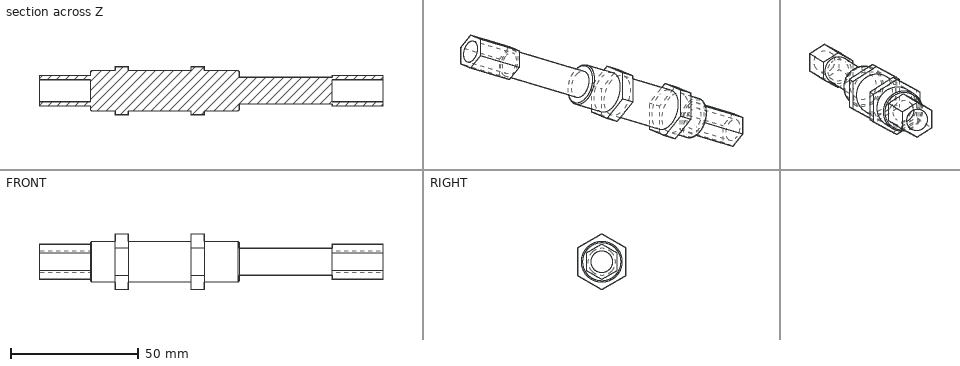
import cadquery as cq

total_length = 135.0
end_hex_length = 20.0
body_length = 58.6
body_end = end_hex_length + body_length
rod_end = total_length - end_hex_length

end_hex_flats = 12.0
body_diameter = 16.0
body_chamfer = 0.5
rod_diameter = 10.7

nut_flats = 19.0
nut_width = 5.3
nut_starts = (29.7, 59.5)

bore_diameter = 8.5
bore_depth = end_hex_length


def cylinder(start, length, diameter):
    """Solid cylinder along X."""
    return cq.Workplane("YZ", origin=(start, 0, 0)).circle(diameter / 2).extrude(length)


def hexagon(start, length, across_flats):
    """Hexagonal bar along X, with corners up and down."""
    return (
        cq.Workplane("YZ", origin=(start, 0, 0))
        .polygon(6, across_flats, circumscribed=True)
        .extrude(length)
    )


body = cylinder(end_hex_length, body_length, body_diameter).edges("%CIRCLE").chamfer(body_chamfer)
rod = cylinder(body_end, rod_end - body_end, rod_diameter)
result = body.union(rod)

for nut_start in nut_starts:
    result = result.union(hexagon(nut_start, nut_width, nut_flats))

for hex_start in (0, rod_end):
    result = result.union(hexagon(hex_start, end_hex_length, end_hex_flats))

for bore_start in (0, total_length - bore_depth):
    result = result.cut(cylinder(bore_start, bore_depth, bore_diameter))